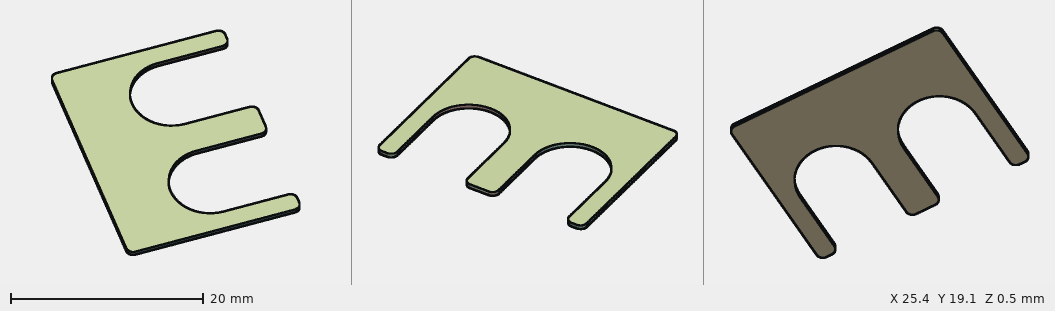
import cadquery as cq

length = 25.4
width = 19.05
thickness = 0.5
corner_radius = 0.75

slot_width = 8.64
slot_depth = 12.2
slot_spacing = 12.45

slot_radius = slot_width / 2
back_edge = width / 2
arc_center_y = back_edge - slot_depth + slot_radius


def slot_cutter(center_x):
    """Slot with straight sides and a half-round closed end."""
    return (
        cq.Workplane("XY")
        .moveTo(center_x - slot_radius, back_edge)
        .lineTo(center_x - slot_radius, arc_center_y)
        .threePointArc(
            (center_x, back_edge - slot_depth),
            (center_x + slot_radius, arc_center_y),
        )
        .lineTo(center_x + slot_radius, back_edge)
        .close()
        .extrude(thickness)
    )


plate = cq.Workplane("XY").box(length, width, thickness, centered=(True, True, False))
for slot_x in (-slot_spacing / 2, slot_spacing / 2):
    plate = plate.cut(slot_cutter(slot_x))

front_corners = plate.faces("<Y").edges("|Z")
prong_tips = plate.faces(">Y").edges("|Z")
result = plate.newObject(front_corners.vals() + prong_tips.vals()).fillet(corner_radius)